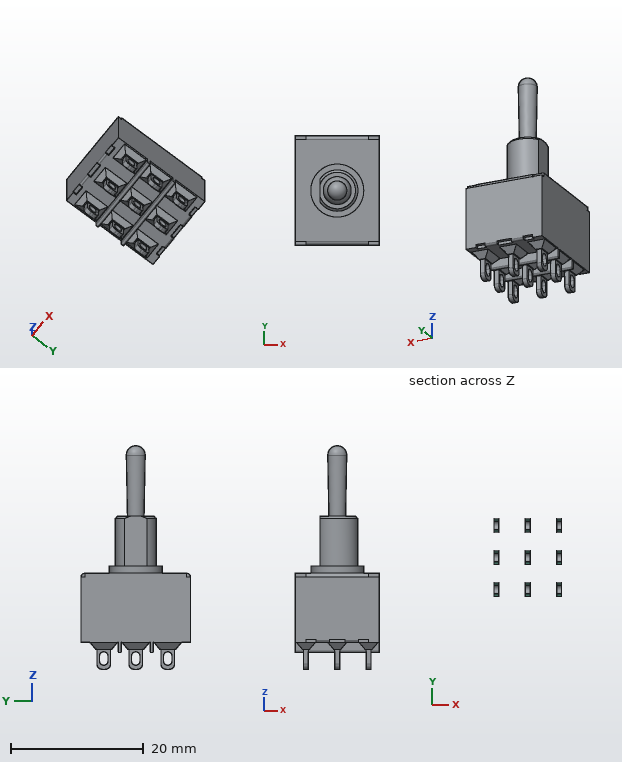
import cadquery as cq

total_height = 33.67
case_width = 12.7
case_depth = 16.5
case_bottom = 4.07
case_top = 14.48

frame_width = 9.43
frame_sheet = 0.6
corner_step = 0.55
frame_bend_radius = 0.57
frame_bottom = 4.55
tab_width = 2.02
tab_spacing = 4.38
tab_radius = 0.3

flange_diameter = 7.98
flange_top = 15.6
bushing_diameter = 6.23
bushing_top = 23.05
bushing_chamfer = 0.37
flat_offset = 2.63
bore_diameter = 4.2

lever_tip_radius = 1.45
lever_waist_radius = 1.28

terminal_pitch_x = 4.7
terminal_pitch_y = 4.8
terminal_count = 3
terminal_thickness = 0.77
terminal_width = 2.1
terminal_corner_radius = 1.65 / 2
eyelet_width = 1.25
eyelet_length = 2.0
eyelet_height = 1.65
collar_top_x = 2.83
collar_top_y = 4.18
collar_bottom = 3.03
collar_inset = 0.88
barrier_thickness = 0.5
barrier_bottom = 2.53

overlap = 0.17


def block(size_x, size_y, bottom, top, x=0, y=0):
    """Upright block centred on (x, y) between two heights."""
    return (
        cq.Workplane("XY")
        .box(size_x, size_y, top - bottom, centered=(True, True, False))
        .translate((x, y, bottom))
    )


def make_case():
    """Case with stepped corners, a rounded frame end and undercut frame edges on both Y ends."""
    core_depth = case_depth - 2 * frame_sheet
    core = block(case_width, core_depth, case_bottom, case_top)
    corners = block(case_width, case_depth, case_bottom, case_top - corner_step)
    undercut = block(frame_width, case_depth, case_bottom, frame_bottom)
    frame = block(frame_width, case_depth, frame_bottom, case_top)
    frame = frame.edges("|X and >Z").fillet(frame_bend_radius)
    case = core.union(corners.cut(undercut)).union(frame)
    for x in (-tab_spacing / 2, tab_spacing / 2):
        tab = block(tab_width, case_depth, case_bottom, frame_bottom + overlap, x)
        case = case.union(tab.edges("|X and <Z").fillet(tab_radius))
    return case


def make_bushing():
    """Round flange and chamfered bushing with a flat on -X and a bore down to the flange."""
    radius = bushing_diameter / 2
    flange = cq.Workplane("XY").workplane(offset=case_top - overlap).circle(flange_diameter / 2)
    flange = flange.extrude(flange_top - case_top + overlap)
    barrel = cq.Workplane("XY").workplane(offset=flange_top - overlap).circle(radius)
    barrel = barrel.extrude(bushing_top - flange_top + overlap)
    barrel = barrel.faces(">Z").edges().chamfer(bushing_chamfer)
    flat_cut = block(
        bushing_diameter, bushing_diameter, flange_top - overlap, bushing_top, -flat_offset - radius
    )
    bore = cq.Workplane("XY").workplane(offset=flange_top).circle(bore_diameter / 2)
    bore = bore.extrude(bushing_top - flange_top)
    return flange.union(barrel.cut(flat_cut)).cut(bore)


def make_lever():
    """Tapered lever with a domed tip, standing on a half-ball that fills the bottom of the bore."""
    tip_base = total_height - lever_tip_radius
    ball_radius = bore_diameter / 2
    taper = (lever_tip_radius - lever_waist_radius) / (tip_base - bushing_top)
    foot_radius = lever_waist_radius - taper * (bushing_top - flange_top)
    diagonal = 0.5 ** 0.5
    tip_middle = (lever_tip_radius * diagonal, tip_base + lever_tip_radius * diagonal)
    stem = (
        cq.Workplane("XZ")
        .moveTo(0, flange_top)
        .lineTo(foot_radius, flange_top)
        .lineTo(lever_tip_radius, tip_base)
        .threePointArc(tip_middle, (0, total_height))
        .close()
        .revolve(360, (0, 0, 0), (0, 1, 0))
    )
    ball = cq.Workplane("XY").sphere(ball_radius).translate((0, 0, flange_top))
    return stem.union(ball)


def make_terminal():
    """Solder lug with rounded lower corners and an eyelet, below its tapered sealing collar."""
    lug = block(terminal_thickness, terminal_width, 0, case_bottom)
    lug = lug.edges("|X and <Z").fillet(terminal_corner_radius)
    eyelet = (
        cq.Workplane("YZ")
        .center(0, eyelet_height)
        .slot2D(eyelet_length, eyelet_width, 90)
        .extrude(terminal_thickness, both=True)
    )
    collar = (
        cq.Workplane("XY")
        .workplane(offset=collar_bottom)
        .rect(collar_top_x - 2 * collar_inset, collar_top_y - 2 * collar_inset)
        .workplane(offset=case_bottom - collar_bottom)
        .rect(collar_top_x, collar_top_y)
        .loft(ruled=True)
    )
    return lug.cut(eyelet).union(collar)


def make_barrier(y):
    """Thin wall with a rounded lower edge across the full width of the case."""
    wall = (
        cq.Workplane("YZ")
        .moveTo(-barrier_thickness / 2, case_bottom + overlap)
        .lineTo(-barrier_thickness / 2, barrier_bottom + barrier_thickness / 2)
        .threePointArc(
            (0, barrier_bottom), (barrier_thickness / 2, barrier_bottom + barrier_thickness / 2)
        )
        .lineTo(barrier_thickness / 2, case_bottom + overlap)
        .close()
        .extrude(case_width / 2, both=True)
    )
    return wall.translate((0, y, 0))


result = make_case().union(make_bushing()).union(make_lever())

terminal = make_terminal()
middle = (terminal_count - 1) / 2
for column in range(terminal_count):
    for row in range(terminal_count):
        place = ((column - middle) * terminal_pitch_x, (row - middle) * terminal_pitch_y, 0)
        result = result.union(terminal.translate(place))

for side in (-1, 1):
    result = result.union(make_barrier(side * terminal_pitch_y / 2))